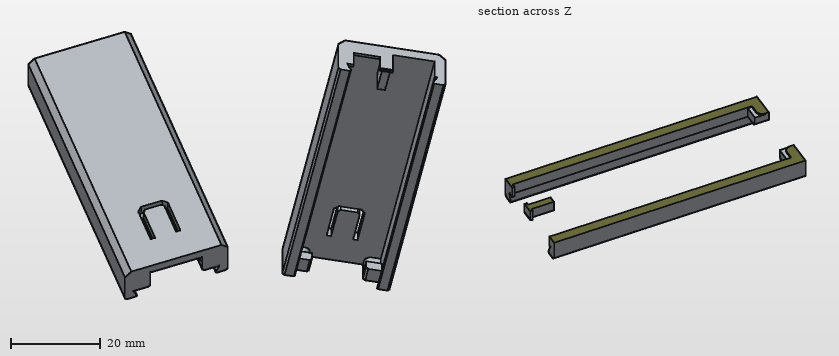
import cadquery as cq

length = 63.0
width = 24.5
height = 10.0
half_length = length / 2
half_width = width / 2

wall = 2.5
roof = 2.5
top_chamfer = 1.5
foot_chamfer = 0.5
wall_bottom = 2.3
ceiling = height - roof
inner_half_width = half_width - wall

notch_half_width = 10.3
lip_half_width = 9.4
lip_top = 0.4
lip_chamfer = 0.25

plate_thickness = 0.7
plate_edge_y = -0.25
opening_y_min = 2.7
opening_y_max = 8.75
opening_top = 6.25
plate_chamfer = 0.2

rib_inset = 0.55
rib_length = 6.3

block_half_gap = 6.2
post_length = wall
ledge_length = 3.5
ledge_top = 4.8
ledge_chamfer = 0.5
post_radius = 1.5

slot_x_min = 15.4
slot_x_max = 24.5
slot_half_width = 3.5
slot_gap = 1.0
slot_corner = 1.0
tongue_corner = 0.55


def box(x_range, y_range, z_range):
    """Axis-aligned box between the given limits."""
    (x0, x1), (y0, y1), (z0, z1) = x_range, y_range, z_range
    return cq.Workplane("XY").box(x1 - x0, y1 - y0, z1 - z0, centered=False).translate((x0, y0, z0))


def channel():
    """Channel extruded along X from its section, mirrored about Y = 0."""
    half_section = [
        (0, height),
        (half_width - top_chamfer, height),
        (half_width, height - top_chamfer),
        (half_width, foot_chamfer),
        (half_width - foot_chamfer, 0),
        (lip_half_width + lip_chamfer, 0),
        (lip_half_width, lip_chamfer),
        (lip_half_width, lip_top),
        (notch_half_width, wall_bottom),
        (inner_half_width, wall_bottom),
        (inner_half_width, ceiling),
        (0, ceiling),
    ]
    half = cq.Workplane("YZ").polyline(half_section).close().extrude(length)
    half = half.translate((-half_length, 0, 0))
    return half.union(half.mirror("XZ"))


def end_plate():
    """Plate across the +Y half of the -X end, with its opening and chamfered post."""
    x_range = (-half_length, plate_thickness - half_length)
    plate = box(x_range, (plate_edge_y, inner_half_width), (wall_bottom, ceiling))
    opening = box(x_range, (opening_y_min, opening_y_max), (wall_bottom, opening_top))
    post_edge = cq.selectors.BoxSelector(
        (-half_length - plate_chamfer, plate_edge_y, wall_bottom - plate_chamfer),
        (-half_length + plate_chamfer, opening_y_min, wall_bottom + plate_chamfer),
    )
    return plate.cut(opening).edges(post_edge).edges("|Y").chamfer(plate_chamfer)


def rib():
    """Rib under the roof, narrower than the post in front of it."""
    return box(
        (-half_length, rib_length - half_length),
        (plate_edge_y + rib_inset, opening_y_min - rib_inset),
        (wall_bottom + plate_chamfer, ceiling),
    )


def corner_block():
    """Ledge and round-cornered post in the +Y corner of the +X end."""
    y_range = (block_half_gap, inner_half_width)
    ledge = box((half_length - ledge_length, half_length), y_range, (wall_bottom, ledge_top))
    ledge = ledge.edges("|X and <Y and <Z").chamfer(ledge_chamfer)
    post = box((half_length - post_length, half_length), y_range, (ledge_top, ceiling))
    post = post.edges("|Z and <X and <Y").fillet(post_radius)
    return ledge.union(post)


def u_outline(x_min, half_span, corner):
    """Prism through the roof, open towards +X, with its two -X corners cut off."""
    prism = box((x_min, slot_x_max), (-half_span, half_span), (ceiling, height))
    return prism.edges("|Z and <X").chamfer(corner)


def tongue_slot():
    """U-shaped gap that leaves the tongue joined to the roof at its +X end."""
    outer = u_outline(slot_x_min, slot_half_width, slot_corner)
    tongue = u_outline(slot_x_min + slot_gap, slot_half_width - slot_gap, tongue_corner)
    return outer.cut(tongue)


block = corner_block()
body = channel().union(end_plate()).union(rib()).union(block).union(block.mirror("XZ"))
result = body.cut(tongue_slot())